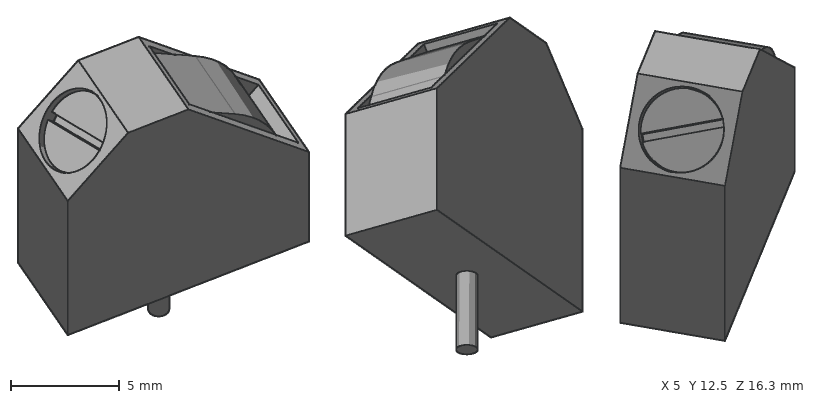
import cadquery as cq
import math

WIDTH = 5.0
LENGTH = 12.5
HEIGHT = 12.5
HALF_LENGTH = LENGTH / 2
REAR_CHAMFER = LENGTH / 2
FRONT_CHAMFER = LENGTH / 4

PIN_DIAMETER = 1.0
PIN_LENGTH = 3.8
PIN_Y = -0.25

POCKET_WIDTH = 4.0
POCKET_LENGTH = 8.0
POCKET_DEPTH = 0.8
LEVER_TILT = 13.2
LEVER_CREST_START = (-0.95, 0.315)
LEVER_CREST_END = (2.43, -0.04)

SCREW_HOLE_DIAMETER = 4.0
SCREW_HEAD_DIAMETER = 3.9
SCREW_RECESS = 0.3
HEAD_GAP_DEPTH = 0.5
SLOT_WIDTH = 0.4
SLOT_DEPTH = 0.4
SLOT_ANGLE = 20.0


def make_housing():
    """Block with two 45 degree slopes, extruded across the width."""
    return (
        cq.Workplane("YZ")
        .moveTo(-HALF_LENGTH, 0)
        .lineTo(HALF_LENGTH, 0)
        .lineTo(HALF_LENGTH, HEIGHT - REAR_CHAMFER)
        .lineTo(HALF_LENGTH - REAR_CHAMFER, HEIGHT)
        .lineTo(FRONT_CHAMFER - HALF_LENGTH, HEIGHT)
        .lineTo(-HALF_LENGTH, HEIGHT - FRONT_CHAMFER)
        .close()
        .extrude(WIDTH / 2, both=True)
    )


def make_pin():
    """Round pin hanging from the housing underside."""
    return (
        cq.Workplane("XY")
        .center(0, PIN_Y)
        .circle(PIN_DIAMETER / 2)
        .extrude(-PIN_LENGTH)
    )


def rear_section_plane():
    """Lengthwise section at the rear face centre: local x down the slope, local y outward."""
    face_center = (0, HALF_LENGTH - REAR_CHAMFER / 2, HEIGHT - REAR_CHAMFER / 2)
    return cq.Plane(origin=face_center, xDir=(0, 1, -1), normal=(1, 0, 0))


def make_pocket():
    """Cutter for the rectangular pocket, reaching equally far above and below the rear face."""
    return (
        cq.Workplane(rear_section_plane())
        .rect(POCKET_LENGTH, 2 * POCKET_DEPTH)
        .extrude(POCKET_WIDTH / 2, both=True)
    )


def make_lever():
    """Lever with a flat top, a rounded crest and a flat falling to the pocket floor."""
    pocket_end = POCKET_LENGTH / 2
    crest_start, crest_start_height = LEVER_CREST_START
    flat_length = crest_start + pocket_end
    flat_start_height = crest_start_height - flat_length * math.tan(math.radians(LEVER_TILT))
    return (
        cq.Workplane(rear_section_plane())
        .moveTo(pocket_end, -POCKET_DEPTH)
        .lineTo(-pocket_end, -POCKET_DEPTH)
        .lineTo(-pocket_end, flat_start_height)
        .lineTo(*LEVER_CREST_START)
        .tangentArcPoint(LEVER_CREST_END, relative=False)
        .close()
        .extrude(POCKET_WIDTH / 2, both=True)
    )


def front_face_plane(depth):
    """Plane parallel to the front slope, sunk by depth below it, centred on the screw."""
    face_center = (0, FRONT_CHAMFER / 2 - HALF_LENGTH, HEIGHT - FRONT_CHAMFER / 2)
    face = cq.Plane(origin=face_center, xDir=(1, 0, 0), normal=(0, -1, 1))
    return cq.Workplane(face).workplane(offset=-depth)


def make_screw_cut():
    """Recess down to the screw head, a narrow gap around the head and a driver slot across it."""
    hole_radius = SCREW_HOLE_DIAMETER / 2
    head_radius = SCREW_HEAD_DIAMETER / 2
    recess = front_face_plane(0).circle(hole_radius).extrude(-SCREW_RECESS)
    gap = front_face_plane(SCREW_RECESS).circle(hole_radius).circle(head_radius).extrude(-HEAD_GAP_DEPTH)
    slot_bounds = front_face_plane(SCREW_RECESS).circle(head_radius).extrude(-SLOT_DEPTH)
    slot = (
        front_face_plane(SCREW_RECESS)
        .transformed(rotate=(0, 0, SLOT_ANGLE))
        .rect(SCREW_HEAD_DIAMETER, SLOT_WIDTH)
        .extrude(-SLOT_DEPTH)
        .intersect(slot_bounds)
    )
    return recess.union(gap).union(slot)


housing = make_housing().cut(make_pocket()).cut(make_screw_cut())
result = housing.union(make_lever()).union(make_pin())